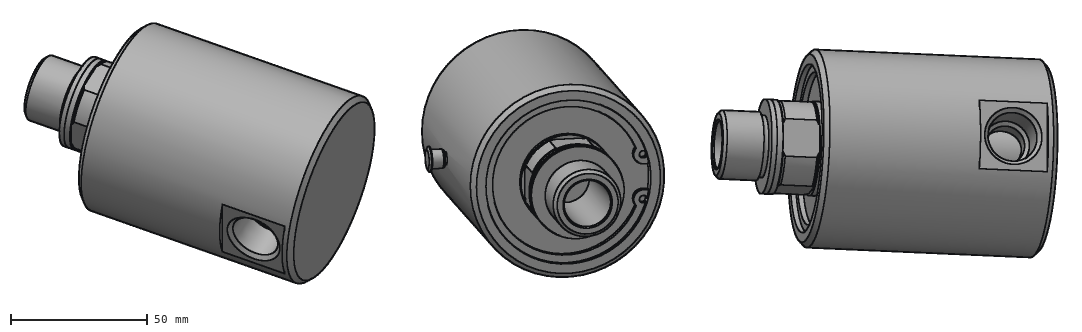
import cadquery as cq
import math


BODY_DIA = 73.0
OVERALL_LENGTH = 120.72
OVERALL_WIDTH = 80.01
SPINDLE_LENGTH = 33.2
BODY_LENGTH = OVERALL_LENGTH - SPINDLE_LENGTH
BODY_CHAMFER = 1.9

RECESS_DIA = 62.05
RECESS_DEPTH = 4.1
RING_THICKNESS = 2.1
RING_INNER_DIA = 56.2
LUG_RADIUS = 3.57
LUG_HOLE_DIA = 2.79
LUG_CENTER_Y = -28.55
LUG_CENTER_Z = 8.5

NOSE_DIA = 25.4
NOSE_CHAMFER = 1.25
NOSE_LENGTH = 15.05
NECK_DIA = 23.0
NECK_BLEND_RADIUS = 1.5
BORE_DIA = 17.48
BORE_MOUTH_DIA = 18.5
BORE_MOUTH_DEPTH = (BORE_MOUTH_DIA - BORE_DIA) / 2
BORE_DEPTH = SPINDLE_LENGTH + RECESS_DEPTH

WASHER_DIA = 34.9
WASHER_START = 17.1
WASHER_LENGTH = 1.95
COLLAR_DIA = 34.8
COLLAR_LENGTH = 2.3
COLLAR_END = WASHER_START + WASHER_LENGTH + COLLAR_LENGTH

WRENCH_DIA = 34.8
WRENCH_LAND_LENGTH = 0.3
WRENCH_CHAMFER_LENGTH = 0.7
WRENCH_CHAMFER_DROP = 0.58
SHOULDER_DIA = 34.8
FLATS_WIDTH = 31.8
FLATS_END_X = 2.0

PORT_X = 70.98
PAD_LENGTH = 25.4
PAD_Y = -34.14
COUNTERSINK_DIA = 21.4
COUNTERSINK_DEPTH = 1.5
TAPER_MOUTH_DIA = 18.3
TAPER_END_DIA = 17.5
TAPER_DEPTH = 14.0
PORT_HOLE_DIA = 14.3
PORT_STEP_LENGTH = 1.0
ROTOR_DIA = 25.4

PLUG_X = 44.25
PLUG_TOP_Y = OVERALL_WIDTH - BODY_DIA / 2
PLUG_DIA = 7.14
PLUG_FLANGE_DIA = 9.45
PLUG_FLANGE_RIM = 0.65
PLUG_FLANGE_HEIGHT = 1.05
PLUG_SHANK_END = 5.5
PLUG_CHAMFER_END_DIA = 6.5
PLUG_CHAMFER_END = 6.2
PLUG_NECK_DIA = 4.76
PLUG_EMBED = 1.5


def x_cylinder(diameter, start, end):
    """Solid cylinder on the X axis between two X positions."""
    return cq.Workplane("YZ", origin=(start, 0, 0)).circle(diameter / 2).extrude(end - start)


def revolve_about_x(points):
    """Revolve a profile of (x, radius) points about the X axis."""
    return cq.Workplane("XY").polyline(points).close().revolve(360, (0, 0), (1, 0))


def revolve_about_y(points, axis_x):
    """Revolve a profile of (radius, y) points about a line parallel to Y."""
    return (
        cq.Workplane("XY", origin=(axis_x, 0, 0))
        .polyline(points)
        .close()
        .revolve(360, (0, 0), (0, 1))
    )


def make_body():
    body = x_cylinder(BODY_DIA, 0, BODY_LENGTH).faces("<X or >X").chamfer(BODY_CHAMFER)
    return body.cut(x_cylinder(RECESS_DIA, 0, RECESS_DEPTH))


def make_retaining_ring():
    start = RECESS_DEPTH - RING_THICKNESS
    plane = cq.Workplane("YZ", origin=(start, 0, 0))
    ring = x_cylinder(RECESS_DIA, start, RECESS_DEPTH)
    ring = ring.cut(x_cylinder(RING_INNER_DIA, start, RECESS_DEPTH))
    gap = (
        plane.center(-RECESS_DIA / 2, 0)
        .rect(RECESS_DIA, 2 * LUG_CENTER_Z)
        .extrude(RING_THICKNESS)
    )
    ring = ring.cut(gap)

    lug_centers = [(LUG_CENTER_Y, side * LUG_CENTER_Z) for side in (-1, 1)]
    lugs = plane.pushPoints(lug_centers).circle(LUG_RADIUS).extrude(RING_THICKNESS)
    tail_centers = [(y - LUG_RADIUS / 2, z) for y, z in lug_centers]
    tails = plane.pushPoints(tail_centers).rect(LUG_RADIUS, 2 * LUG_RADIUS).extrude(RING_THICKNESS)
    holes = plane.pushPoints(lug_centers).circle(LUG_HOLE_DIA / 2).extrude(RING_THICKNESS)
    ends = lugs.union(tails).intersect(x_cylinder(RECESS_DIA, start, RECESS_DEPTH))
    return ring.union(ends).cut(holes)


def make_nose_and_collar():
    tip = -SPINDLE_LENGTH
    nose_end = tip + NOSE_LENGTH
    neck_radius = NECK_DIA / 2
    arc_angle = math.acos(1 - (NOSE_DIA - NECK_DIA) / 2 / NECK_BLEND_RADIUS)
    arc_length = NECK_BLEND_RADIUS * math.sin(arc_angle)
    arc_middle = (
        nose_end + arc_length - NECK_BLEND_RADIUS * math.sin(arc_angle / 2),
        neck_radius + NECK_BLEND_RADIUS * (1 - math.cos(arc_angle / 2)),
    )
    washer_start = tip + WASHER_START
    washer_end = washer_start + WASHER_LENGTH
    collar_end = tip + COLLAR_END
    return (
        cq.Workplane("XY")
        .moveTo(tip, 0)
        .lineTo(tip, NOSE_DIA / 2 - NOSE_CHAMFER)
        .lineTo(tip + NOSE_CHAMFER, NOSE_DIA / 2)
        .lineTo(nose_end, NOSE_DIA / 2)
        .threePointArc(arc_middle, (nose_end + arc_length, neck_radius))
        .lineTo(washer_start, neck_radius)
        .lineTo(washer_start, WASHER_DIA / 2)
        .lineTo(washer_end, WASHER_DIA / 2)
        .lineTo(washer_end, COLLAR_DIA / 2)
        .lineTo(collar_end, COLLAR_DIA / 2)
        .lineTo(collar_end, 0)
        .close()
        .revolve(360, (0, 0), (1, 0))
    )


def make_wrench_section():
    """Four flats with rounded corners chamfered at both ends, and the shoulder behind them."""
    start = COLLAR_END - SPINDLE_LENGTH
    land_end = start + WRENCH_LAND_LENGTH
    rear_land_start = FLATS_END_X - WRENCH_LAND_LENGTH
    land_radius = WRENCH_DIA / 2 - WRENCH_CHAMFER_DROP
    blank = revolve_about_x(
        [
            (start, 0),
            (start, land_radius),
            (land_end, land_radius),
            (land_end + WRENCH_CHAMFER_LENGTH, WRENCH_DIA / 2),
            (rear_land_start - WRENCH_CHAMFER_LENGTH, WRENCH_DIA / 2),
            (rear_land_start, land_radius),
            (FLATS_END_X, land_radius),
            (FLATS_END_X, 0),
        ]
    )
    flats_plane = cq.Workplane("YZ", origin=(start, 0, 0))
    square = flats_plane.rect(FLATS_WIDTH, FLATS_WIDTH).extrude(FLATS_END_X - start)
    shoulder = x_cylinder(SHOULDER_DIA, FLATS_END_X, RECESS_DEPTH)
    return blank.intersect(square).union(shoulder)


def make_bore():
    tip = -SPINDLE_LENGTH
    return revolve_about_x(
        [
            (tip, 0),
            (tip, BORE_MOUTH_DIA / 2),
            (tip + BORE_MOUTH_DEPTH, BORE_DIA / 2),
            (tip + BORE_DEPTH, BORE_DIA / 2),
            (tip + BORE_DEPTH, 0),
        ]
    )


def make_port_cut():
    """Flat pad and tapered port; the port stops on the rotor surface."""
    pad_depth = BODY_DIA / 2 + PAD_Y
    pad = cq.Workplane("XY").box(PAD_LENGTH, pad_depth, BODY_DIA)
    pad = pad.translate((PORT_X, PAD_Y - pad_depth / 2, 0))
    taper_end_y = PAD_Y + TAPER_DEPTH
    hole = revolve_about_y(
        [
            (0, PAD_Y),
            (COUNTERSINK_DIA / 2, PAD_Y),
            (TAPER_MOUTH_DIA / 2, PAD_Y + COUNTERSINK_DEPTH),
            (TAPER_END_DIA / 2, taper_end_y),
            (PORT_HOLE_DIA / 2, taper_end_y + PORT_STEP_LENGTH),
            (PORT_HOLE_DIA / 2, 0),
            (0, 0),
        ],
        PORT_X,
    )
    return pad.union(hole.cut(x_cylinder(ROTOR_DIA, 0, BODY_LENGTH)))


def make_relief_plug():
    top = PLUG_TOP_Y
    base = BODY_DIA / 2 - PLUG_EMBED
    return revolve_about_y(
        [
            (0, top),
            (PLUG_DIA / 2, top),
            (PLUG_FLANGE_DIA / 2, top - PLUG_FLANGE_RIM),
            (PLUG_FLANGE_DIA / 2, top - PLUG_FLANGE_HEIGHT),
            (PLUG_DIA / 2, top - PLUG_FLANGE_HEIGHT),
            (PLUG_DIA / 2, top - PLUG_SHANK_END),
            (PLUG_CHAMFER_END_DIA / 2, top - PLUG_CHAMFER_END),
            (PLUG_NECK_DIA / 2, top - PLUG_CHAMFER_END),
            (PLUG_NECK_DIA / 2, base),
            (0, base),
        ],
        PLUG_X,
    )


result = (
    make_body()
    .union(make_retaining_ring())
    .union(make_wrench_section())
    .union(make_nose_and_collar())
    .union(make_relief_plug())
    .cut(make_bore())
    .cut(make_port_cut())
)